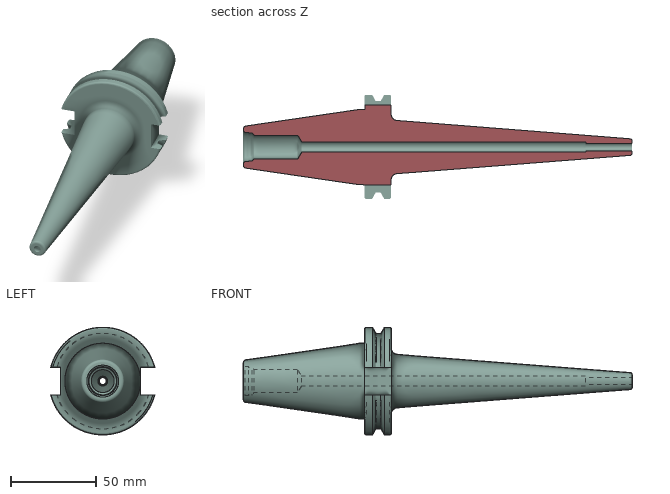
import cadquery as cq
import math

length = 228.2

end_radius = 12.5
end_fillet = 1.8
taper_end = 68.2
gauge_radius = 44.5 / 2

flange_start = 71.2
flange_end = 87.0
flange_radius = 63.2 / 2
flange_fillet = 1.1
groove_start = 75.8
groove_end = 82.9
groove_radius = 28.0
wall_angle = math.radians(30)
groove_fillet = 0.5
groove_run = (flange_radius - groove_radius) * math.tan(wall_angle)

fillet_reach = groove_fillet * math.tan((math.pi / 2 - wall_angle) / 2)
wall_setback = fillet_reach * math.sin(wall_angle)
wall_rise = fillet_reach * math.cos(wall_angle)

nose_start = 90.5
nose_radius = 15.7
nose_fillet = nose_start - flange_end
tip_radius = 10.0 / 2
tip_fillet = 1.4

slot_width = 16.2
shallow_slot_floor = gauge_radius
deep_slot_floor = 24.9

mouth_radius = 9.4
counterbore_radius = 17.0 / 2
counterbore_depth = 3.2
step_radius = 16.2 / 2
step_depth = 5.0
thread_radius = 13.5 / 2
thread_depth = 32.0
channel_radius = 5.7 / 2
tool_radius = 4.0 / 2
tool_depth = 27.5
drill_cone_angle = math.radians(59)


def make_body():
    """Revolve the taper, grooved flange and nose about the X axis."""
    body = (
        cq.Workplane("XY")
        .moveTo(0, 0)
        .lineTo(0, end_radius - end_fillet)
        .radiusArc((end_fillet, end_radius), end_fillet)
        .lineTo(taper_end, gauge_radius)
        .lineTo(flange_start, gauge_radius)
        .lineTo(flange_start, flange_radius - flange_fillet)
        .radiusArc((flange_start + flange_fillet, flange_radius), flange_fillet)
        .lineTo(groove_start, flange_radius)
        .lineTo(groove_start + groove_run - wall_setback, groove_radius + wall_rise)
        .radiusArc((groove_start + groove_run + fillet_reach, groove_radius), -groove_fillet)
        .lineTo(groove_end - groove_run - fillet_reach, groove_radius)
        .radiusArc((groove_end - groove_run + wall_setback, groove_radius + wall_rise), -groove_fillet)
        .lineTo(groove_end, flange_radius)
        .lineTo(flange_end - flange_fillet, flange_radius)
        .radiusArc((flange_end, flange_radius - flange_fillet), flange_fillet)
        .lineTo(flange_end, nose_radius + nose_fillet)
        .radiusArc((nose_start, nose_radius), -nose_fillet)
        .lineTo(length - tip_fillet, tip_radius)
        .radiusArc((length, tip_radius - tip_fillet), tip_fillet)
        .lineTo(length, 0)
        .close()
    )
    return body.revolve(360, (0, 0, 0), (1, 0, 0))


def make_bore():
    """Revolve the stepped bore that runs through the whole part."""
    step_end = step_depth + step_radius - thread_radius
    cone_end = thread_depth + (thread_radius - channel_radius) / math.tan(drill_cone_angle)
    bore = (
        cq.Workplane("XY")
        .moveTo(0, 0)
        .lineTo(0, mouth_radius)
        .lineTo(mouth_radius - counterbore_radius, counterbore_radius)
        .lineTo(counterbore_depth, counterbore_radius)
        .lineTo(counterbore_depth, step_radius)
        .lineTo(step_depth, step_radius)
        .lineTo(step_end, thread_radius)
        .lineTo(thread_depth, thread_radius)
        .lineTo(cone_end, channel_radius)
        .lineTo(length - tool_depth, channel_radius)
        .lineTo(length - tool_depth, tool_radius)
        .lineTo(length, tool_radius)
        .lineTo(length, 0)
        .close()
    )
    return bore.revolve(360, (0, 0, 0), (1, 0, 0))


def make_slot(floor, side):
    """Block outside the slot floor, on the +Y (side = 1) or -Y (side = -1) face."""
    block = cq.Workplane("XY").box(
        flange_end - flange_start, flange_radius, slot_width, centered=(False, False, True)
    )
    y_start = floor if side > 0 else -floor - flange_radius
    return block.translate((flange_start, y_start, 0))


result = make_body().cut(make_bore())
result = result.cut(make_slot(deep_slot_floor, 1))
result = result.cut(make_slot(shallow_slot_floor, -1))